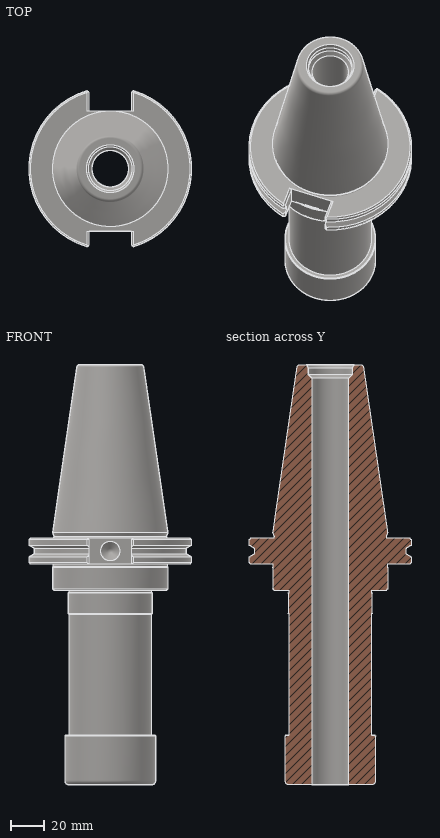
import cadquery as cq
import math


total_length = 254.0

gauge_radius = 69.85 / 2
taper_length = 101.6
taper_ratio = 7 / 24
tip_radius = gauge_radius - taper_length * taper_ratio / 2
tip_fillet = 2.0

flange_radius = 98.425 / 2
flange_top = -3.175
flange_thickness = 15.875
flange_bottom = flange_top - flange_thickness
flange_chamfer = 1.0
groove_center = -11.1
groove_floor_width = 3.3
groove_depth = 3.2
groove_half_angle = 30
groove_mouth_width = groove_floor_width + 2 * groove_depth * math.tan(math.radians(groove_half_angle))

upper_neck_radius = gauge_radius - 0.9
upper_neck_fillet = 0.8

slot_width = 25.4
slot_edge_chamfer = 1.23
front_slot_floor = 37.9
rear_slot_floor = 35.0
cut_clearance = 1.0
dimple_diameter = 11.7
dimple_cone_angle = 120

shoulder_radius = gauge_radius
shoulder_top = -21.0
shoulder_bottom = -35.0
shoulder_chamfer = 1.0
lower_neck_depth = 0.25
lower_neck_taper_height = 0.6

collar_radius = 51 / 2
collar_top = -36.5
collar_bottom = -48.8
collar_chamfer = 0.5
stem_radius = 50 / 2

nut_radius = 55 / 2
nut_top = -122.4
nut_bottom = taper_length - total_length
nut_top_chamfer = 0.4
nut_end_fillet = 2.5

bore_radius = 21.96 / 2
counterbore_radius = 26.4 / 2
counterbore_depth = 6.0
bore_mouth_radius = 28.8 / 2
bore_mouth_angle = 60


def make_core():
    """Everything coaxial except the flange: taper, necks, shoulder, collar, stem and nut."""
    lower_neck_radius = shoulder_radius - lower_neck_depth
    collar_neck_radius = collar_radius - collar_chamfer
    core = (
        cq.Workplane("XZ")
        .moveTo(0, taper_length)
        .lineTo(tip_radius, taper_length)
        .lineTo(gauge_radius, 0)
        .lineTo(upper_neck_radius, flange_top + upper_neck_fillet)
        .radiusArc((upper_neck_radius + upper_neck_fillet, flange_top), -upper_neck_fillet)
        .lineTo(lower_neck_radius, flange_top)
        .lineTo(lower_neck_radius, shoulder_top + lower_neck_taper_height)
        .lineTo(shoulder_radius, shoulder_top)
        .lineTo(shoulder_radius, shoulder_bottom + shoulder_chamfer)
        .lineTo(shoulder_radius - shoulder_chamfer, shoulder_bottom)
        .lineTo(collar_neck_radius, shoulder_bottom)
        .lineTo(collar_neck_radius, collar_top + collar_chamfer)
        .lineTo(collar_radius, collar_top)
        .lineTo(collar_radius, collar_bottom)
        .lineTo(stem_radius, collar_bottom - collar_chamfer)
        .lineTo(stem_radius, nut_top)
        .lineTo(nut_radius - nut_top_chamfer, nut_top)
        .lineTo(nut_radius, nut_top - nut_top_chamfer)
        .lineTo(nut_radius, nut_bottom)
        .lineTo(0, nut_bottom)
        .close()
        .revolve(360, (0, 0), (0, 1))
    )
    core = core.faces(">Z").edges().fillet(tip_fillet)
    return core.faces("<Z").edges().fillet(nut_end_fillet)


def make_flange():
    """Flange disc with chamfered rims and a V-groove around its edge."""
    groove_floor_radius = flange_radius - groove_depth
    profile = [
        (0, flange_top),
        (flange_radius - flange_chamfer, flange_top),
        (flange_radius, flange_top - flange_chamfer),
        (flange_radius, groove_center + groove_mouth_width / 2),
        (groove_floor_radius, groove_center + groove_floor_width / 2),
        (groove_floor_radius, groove_center - groove_floor_width / 2),
        (flange_radius, groove_center - groove_mouth_width / 2),
        (flange_radius, flange_bottom + flange_chamfer),
        (flange_radius - flange_chamfer, flange_bottom),
        (0, flange_bottom),
    ]
    return cq.Workplane("YZ").polyline(profile).close().revolve(360, (0, 0), (0, 1))


def make_bore():
    """Full-length bore with a chamfered counterbore in the taper tip and a cone leading to the bore."""
    mouth_depth = (bore_mouth_radius - counterbore_radius) / math.tan(math.radians(bore_mouth_angle / 2))
    counterbore_floor = taper_length - counterbore_depth
    profile = [
        (0, taper_length),
        (bore_mouth_radius, taper_length),
        (counterbore_radius, taper_length - mouth_depth),
        (counterbore_radius, counterbore_floor),
        (bore_radius, counterbore_floor - (counterbore_radius - bore_radius)),
        (bore_radius, nut_bottom),
        (0, nut_bottom),
    ]
    return cq.Workplane("XZ").polyline(profile).close().revolve(360, (0, 0), (0, 1))


def make_drive_slot(floor):
    """Cutter for a drive slot on the -Y side, widened along the top and rim edges of its walls."""
    half_width = slot_width / 2
    wide_half = half_width + slot_edge_chamfer
    outer_y = -flange_radius - cut_clearance
    slot = (
        cq.Workplane("XZ", origin=(0, -floor, 0))
        .moveTo(-half_width, flange_bottom)
        .lineTo(half_width, flange_bottom)
        .lineTo(half_width, flange_top - slot_edge_chamfer)
        .lineTo(wide_half, flange_top)
        .lineTo(-wide_half, flange_top)
        .lineTo(-half_width, flange_top - slot_edge_chamfer)
        .close()
        .extrude(-outer_y - floor)
    )
    rim_y = -math.sqrt(flange_radius**2 - wide_half**2)
    flared_half = wide_half + rim_y - outer_y
    flare = (
        cq.Workplane("XY", origin=(0, 0, flange_bottom))
        .moveTo(-half_width, rim_y + slot_edge_chamfer)
        .lineTo(half_width, rim_y + slot_edge_chamfer)
        .lineTo(flared_half, outer_y)
        .lineTo(-flared_half, outer_y)
        .close()
        .extrude(flange_thickness)
    )
    return slot.union(flare)


def make_dimple():
    """Conical dimple in the floor of the -Y drive slot."""
    radius = dimple_diameter / 2
    depth = radius / math.tan(math.radians(dimple_cone_angle / 2))
    base = cq.Vector(0, -front_slot_floor, groove_center)
    return cq.Workplane(cq.Solid.makeCone(radius, 0, depth, base, cq.Vector(0, 1, 0)))


front_slot = make_drive_slot(front_slot_floor)
rear_slot = make_drive_slot(rear_slot_floor).rotate((0, 0, 0), (0, 0, 1), 180)

flange = make_flange().cut(front_slot).cut(rear_slot)
result = make_core().union(flange).cut(make_dimple()).cut(make_bore())